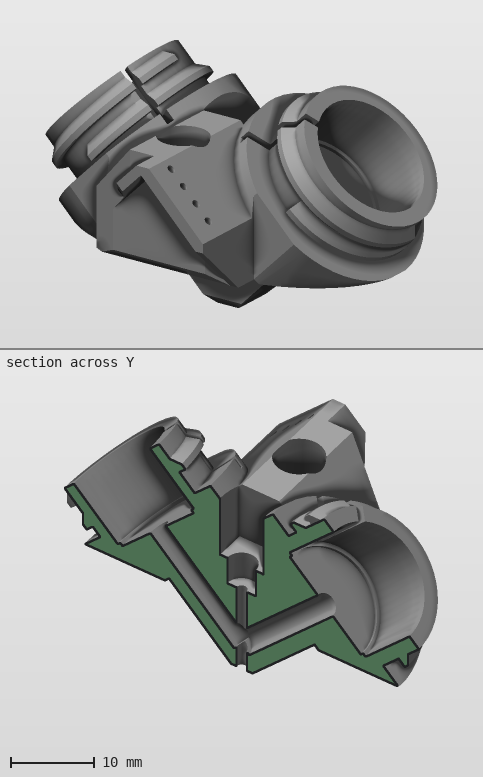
import cadquery as cq
import math

ROOT2 = math.sqrt(2)

axis_z = 3.8
tube_radius = 9.75
tube_length = 7.3
overall_width = 51.55
tube_end = overall_width / 2 * ROOT2 - tube_radius
flange_radius = 13.0
flange_thickness = 8.25
flange_face = tube_end - tube_length
flange_flat_y = 12.4
flange_bottom_z = 8.4
flange_gap = 6.3

bore_radius = 7.8
bore_depth = 9.0
recess_radius = 7.25
recess_depth = 0.45
passage_radius = 1.55

thread_pitch = 3.2
thread_turns = 1.25
thread_height = 1.25
thread_crest = 0.75
thread_start = 0.6
thread_root = 0.25

slot_width = 1.0
slot_angle = 35.0
slot_below_face = 1.55

block_half = 10.55
block_front_y = -23.0
roof_z = 24.9
roof_flat_half = 2.7
roof_apex = roof_z + roof_flat_half
inner_apex = axis_z + ROOT2 * (flange_face - flange_thickness)
block_bottom_z = inner_apex - block_half
bottom_chamfer_y = -15.65
front_tip_z = 15.85

keel_half_y = 4.0
keel_chamfer = 1.25
saddle_half = 3.05
saddle_z = inner_apex - saddle_half
keel_tip_half = block_half - block_bottom_z

nose_side_y = -15.0
nose_face_y = -17.1
nose_half = 6.7
nose_slope = (nose_side_y - nose_face_y) / (block_half - nose_half)

right_ceiling_apex = 25.3
left_top_apex = 24.0
left_ceiling_apex = 22.25
canopy_wall_inner_x = 9.4
canopy_edge_x = -2.05
canopy_edge_back_x = -5.5
canopy_edge_back_y = -17.75

main_hole_y = -12.05
main_hole_radius = 3.25
keel_hole_radius = 0.7
counterbore_radius = 2.05
counterbore_depth = 4.0

row_hole_radius = 0.5
row_hole_y = -19.7
row_first_x = 3.6
row_step_x = 1.8
row_count = 4

margin = 30.95


def prism_y(points, y_from, y_to):
    """Extrude an XZ outline between two Y positions."""
    sketch = cq.Workplane("XZ", origin=(0, y_to, 0)).polyline(points).close()
    return sketch.extrude(y_to - y_from)


def prism_z(points):
    """Extrude an XY outline over the full height."""
    return cq.Workplane("XY").polyline(points).close().extrude(margin)


def mirrored(points):
    """Close a right-hand outline with its mirror image about x = 0."""
    return points + [(-x, z) for x, z in reversed(points)]


def port_plane(side):
    """Plane at a flange face: normal out along the port, local X to its top."""
    reach = flange_face / ROOT2
    return cq.Plane(
        origin=(side * reach, 0, axis_z + reach),
        xDir=(-side, 0, 1),
        normal=(side, 0, 1),
    )


def make_thread(start_angle):
    """Right-hand thread rib that descends from start_angle near the rim."""
    rise = thread_pitch * thread_turns
    rib_top = tube_length - thread_start - rise
    foot = tube_radius - thread_root
    crest = tube_radius + thread_height
    crest_top = rib_top - thread_height
    crest_bottom = crest_top - thread_crest
    profile = cq.Workplane("XZ").polyline([
        (foot, crest_bottom),
        (crest, crest_bottom),
        (crest, crest_top),
        (foot, rib_top + thread_root),
    ]).close()
    path = cq.Wire.makeHelix(thread_pitch, rise, tube_radius)
    rib = profile.sweep(cq.Workplane(path), isFrenet=True)
    return rib.rotate((0, 0, 0), (0, 0, 1), start_angle - 360 * thread_turns)


def make_port(side):
    """Flange, threaded tube, stepped bore and slot, set at 45 degrees."""
    port = cq.Workplane("XY").circle(tube_radius).extrude(tube_length)
    port = port.union(make_thread(0 if side < 0 else 180))
    port = port.union(cq.Workplane("XY").circle(flange_radius).extrude(-flange_thickness))

    rim = cq.Workplane("XY", origin=(0, 0, tube_length))
    port = port.cut(rim.circle(bore_radius).extrude(-bore_depth))
    port = port.cut(rim.circle(recess_radius).extrude(-bore_depth - recess_depth))

    slot = cq.Workplane("XY", origin=(0, 0, -slot_below_face)).rect(
        margin, slot_width, centered=(False, True)
    ).extrude(slot_below_face + tube_length)
    port = port.cut(slot.rotate((0, 0, 0), (0, 0, 1), side * slot_angle))
    port = cq.Workplane(obj=port.val().moved(cq.Location(port_plane(side))))

    size = 2 * margin
    gap = cq.Workplane("XY").box(flange_gap, size, size)
    below = cq.Workplane("XY").box(size, size, flange_bottom_z, centered=(True, True, False))
    front = cq.Workplane("XY").box(margin, margin, margin).translate(
        (side * (block_half + margin / 2), -flange_flat_y - margin / 2, margin / 2)
    )
    return port.cut(gap).cut(below).cut(front)


def make_keel():
    outline = mirrored([
        (saddle_half, saddle_z),
        (block_half, block_bottom_z),
        (keel_tip_half, 0),
    ])
    keel = prism_y(outline, -keel_half_y, keel_half_y)
    return keel.faces("<Z").edges("|X").chamfer(keel_chamfer)


def make_block():
    outline = mirrored([
        (roof_flat_half, roof_z),
        (block_half, roof_apex - block_half),
        (block_half, block_bottom_z),
    ])
    block = prism_y(outline, block_front_y, -keel_half_y)
    under_front = cq.Workplane("YZ").polyline([
        (bottom_chamfer_y, block_bottom_z),
        (block_front_y, front_tip_z),
        (block_front_y, block_bottom_z),
    ]).close().extrude(block_half, both=True)
    return block.cut(under_front)


def nose_line_y(x):
    """Y of the slanted left side of the nose."""
    return nose_side_y - nose_slope * (x + block_half)


def below_canopy():
    """Space under the canopy, in front of the nose."""
    ceiling_x = (right_ceiling_apex - left_ceiling_apex) / 2
    section = prism_y([
        (ceiling_x, left_ceiling_apex + ceiling_x),
        (canopy_wall_inner_x, right_ceiling_apex - canopy_wall_inner_x),
        (canopy_wall_inner_x, 0),
        (-margin, 0),
        (-margin, left_ceiling_apex - margin),
    ], -margin, 0)
    side_y = nose_line_y(-margin)
    in_front = prism_z([
        (-margin, side_y),
        (-nose_half, nose_face_y),
        (nose_half, nose_face_y),
        (margin, side_y),
        (margin, -margin),
        (-margin, -margin),
    ])
    return section.intersect(in_front)


def above_left_canopy():
    """Space over the lowered left half of the canopy."""
    top_x = roof_z - left_top_apex
    section = prism_y([
        (top_x, roof_z),
        (-margin, roof_z),
        (-margin, left_top_apex - margin),
    ], -margin, 0)
    step_y = nose_line_y(-roof_flat_half)
    in_front = prism_z([
        (-margin, nose_line_y(-margin)),
        (-roof_flat_half, step_y),
        (margin, step_y),
        (margin, -margin),
        (-margin, -margin),
    ])
    return section.intersect(in_front)


def beside_left_canopy():
    """Space beyond the slanted edge of the left canopy, cut square to its slope."""
    slope_plane = cq.Plane(
        origin=(0, 0, left_ceiling_apex), xDir=(1, 0, 1), normal=(-1, 0, 1)
    )
    shift = (left_top_apex - left_ceiling_apex) / 2
    edge_front = (canopy_edge_x + shift) * ROOT2
    edge_back = (canopy_edge_back_x + shift) * ROOT2
    edge_run = (edge_back - edge_front) / (canopy_edge_back_y - block_front_y)
    canopy_thickness = (left_top_apex - left_ceiling_apex) / ROOT2
    wedge = cq.Workplane(slope_plane).polyline([
        (edge_front, block_front_y),
        (edge_front - edge_run * block_front_y, 0),
        (-margin, 0),
        (-margin, block_front_y),
    ]).close().extrude(canopy_thickness)
    in_front = prism_z([
        (-margin, nose_line_y(-margin)),
        (block_half, nose_line_y(block_half)),
        (block_half, -2 * margin),
        (-margin, -2 * margin),
    ])
    return wedge.intersect(in_front)


def vertical_hole(y, radius, z_from, z_to):
    return cq.Workplane("XY", origin=(0, y, z_from)).circle(radius).extrude(z_to - z_from)


def row_hole(x):
    """Small hole through the right canopy, square to its roof."""
    roof = cq.Plane(origin=(x, row_hole_y, roof_apex - x), xDir=(0, 1, 0), normal=(1, 0, 1))
    depth = (roof_apex - right_ceiling_apex) / ROOT2
    return cq.Workplane(roof).circle(row_hole_radius).extrude(depth, both=True)


def passage(side):
    bore_floor = tube_length - bore_depth - recess_depth
    start = cq.Workplane(port_plane(side)).workplane(offset=bore_floor)
    return start.circle(passage_radius).extrude(-flange_face - bore_floor)


block = make_block().cut(below_canopy()).cut(above_left_canopy()).cut(beside_left_canopy())
result = make_keel().union(block)
for side in (-1, 1):
    result = result.union(make_port(side))
for side in (-1, 1):
    result = result.cut(passage(side))

result = result.cut(vertical_hole(main_hole_y, main_hole_radius, 0, roof_z))
result = result.cut(vertical_hole(0, keel_hole_radius, 0, saddle_z))
result = result.cut(vertical_hole(0, counterbore_radius, saddle_z - counterbore_depth, saddle_z))
for index in range(row_count):
    result = result.cut(row_hole(row_first_x + index * row_step_x))